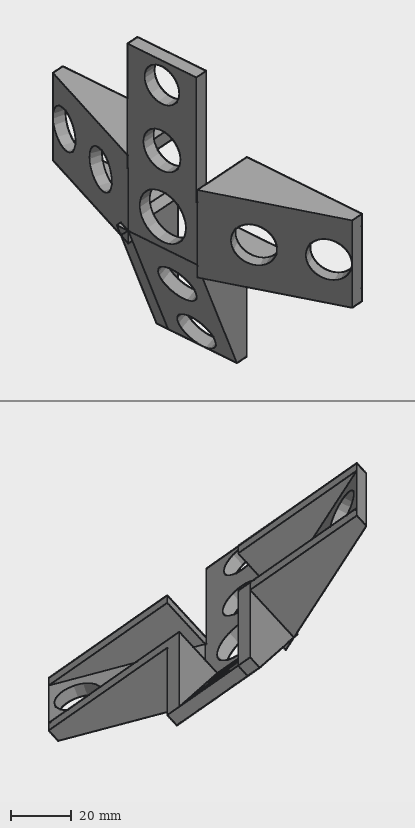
import cadquery as cq
import math

overall_width = 130.0
overall_height = 125.0
thickness = 5.1
depth = 25.1
centre_width = 29.9
arm_reach = (overall_width - centre_width) / 2
plate_height = overall_height - 2 * arm_reach
half_width = centre_width / 2
half_height = plate_height / 2

centre_hole_diameter = 20.0
hub_hole_diameter = 16.0
upright_end_hole_diameter = 15.0
upright_shift = -0.4
upright_hole_heights = (26.4, 52.6)
arm_hole_reaches = (18.3, 42.5)

drop = depth - thickness
tilt = math.degrees(math.atan2(drop, arm_reach))


def box(x0, x1, y0, y1, z0, z1):
    return cq.Workplane("XY").box(x1 - x0, y1 - y0, z1 - z0, centered=False).translate((x0, y0, z0))


def wedge(low, high):
    """Solid triangular gusset of an arm that points along +X from the bend."""
    outline = [(0, 0), (arm_reach, drop), (arm_reach, depth), (0, depth)]
    return cq.Workplane("XY").polyline(outline).close().extrude(high - low).translate((0, 0, low))


def tilted_plate(low, high):
    """Tilted plate of an arm that points along +X from the bend."""
    outline = [(0, 0), (arm_reach, drop), (arm_reach, depth), (0, thickness)]
    return cq.Workplane("XY").polyline(outline).close().extrude(high - low).translate((0, 0, low))


def arm_holes():
    """Cutters square to the tilted face of an arm that points along +X."""
    cutters = cq.Workplane("XY")
    for reach in arm_hole_reaches:
        cutter = (
            cq.Workplane("XZ")
            .circle(hub_hole_diameter / 2)
            .extrude(2 * thickness, both=True)
            .rotate((0, 0, 0), (0, 0, 1), tilt)
            .translate((reach, reach * drop / arm_reach, 0))
        )
        cutters = cutters.add(cutter)
    return cutters.combine()


def place_down(shape):
    """Turn an arm that points along +X so that it points down from the centre plate."""
    return shape.rotate((0, 0, 0), (0, 1, 0), 90).translate((0, 0, -half_height))


def make_side_arm():
    arm = tilted_plate(-half_height, half_height)
    arm = arm.union(wedge(half_height, half_height + thickness))
    arm = arm.union(wedge(-half_height - thickness, -half_height))
    return arm.cut(arm_holes()).translate((half_width, 0, 0))


def make_lower_arm():
    arm = tilted_plate(-half_width, half_width)
    arm = arm.union(wedge(half_width - thickness, half_width))
    return place_down(arm.cut(arm_holes()))


def make_upright():
    top = half_height + arm_reach
    upright = box(-half_width, half_width, 0, thickness, half_height, top)
    for height, diameter in zip(upright_hole_heights, (hub_hole_diameter, upright_end_hole_diameter)):
        hole = cq.Workplane("XZ").center(0, height).circle(diameter / 2).extrude(-thickness)
        upright = upright.cut(hole)
    return upright.translate((upright_shift, 0, 0))


right_arm = make_side_arm()
left_arm = right_arm.mirror("YZ")
centre = box(-half_width, half_width, 0, thickness, -half_height, half_height)
centre = centre.cut(cq.Workplane("XZ").circle(centre_hole_diameter / 2).extrude(-thickness))
bracket = centre.union(make_upright()).union(make_lower_arm()).union(right_arm).union(left_arm)

corner = box(-half_width - thickness, -half_width, 0, depth, -half_height - thickness, -half_height)
gusset = place_down(wedge(-half_width - thickness, -half_width))
gusset = gusset.union(left_arm.intersect(corner))
bracket = bracket.cut(corner)

result = cq.Compound.makeCompound([*bracket.vals(), *gusset.vals()])